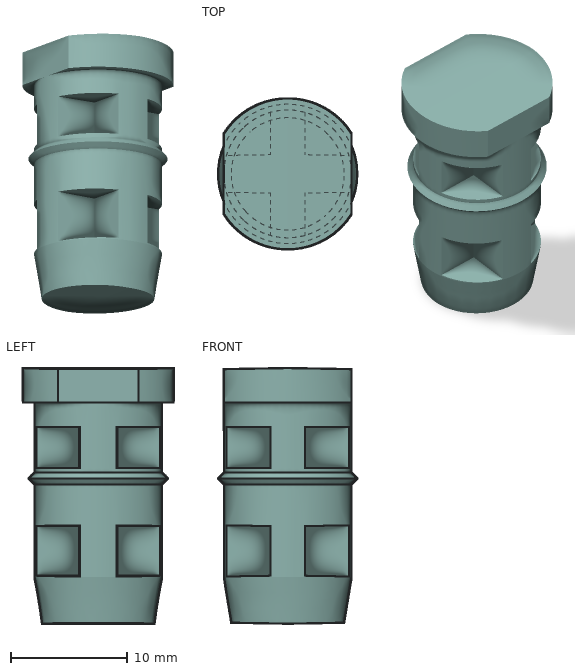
import cadquery as cq
import math

height = 22
draft = math.tan(math.radians(1))

body_radius = 5.5
tip_radius = 4.85
tip_height = 4.0

head_diameter = 13.0
head_height = 3.0
head_width = 2 * body_radius

ring_diameter = 12.0
ring_radius = ring_diameter / 2
ring_center_z = 12.5
ring_half_height = 0.5

core_half_x = 1.5
core_half_y = 1.65
upper_floor_z = 13.38
upper_ceiling_z = 16.95
lower_floor_z = 4.14
lower_ceiling_z = 8.4

head_underside_z = height - head_height


def shank_with_ring():
    """Tip, shank and ring as one profile turned about Z."""
    profile = [
        (0, 0),
        (tip_radius, 0),
        (body_radius, tip_height),
        (body_radius, ring_center_z - ring_half_height),
        (ring_radius, ring_center_z),
        (body_radius, ring_center_z + ring_half_height),
        (body_radius, head_underside_z),
        (0, head_underside_z),
    ]
    return cq.Workplane("XZ").polyline(profile).close().revolve(360, (0, 0, 0), (0, 1, 0))


def head():
    """Disc with a flat on its -X and +X sides."""
    disc = cq.Workplane("XY", origin=(0, 0, head_underside_z)).circle(head_diameter / 2).extrude(head_height)
    between_flats = cq.Workplane("XY").box(head_width, head_diameter, height, centered=(True, True, False))
    return disc.intersect(between_flats)


def corner_windows(floor_z, ceiling_z, vertical_draft):
    """Pockets in all four corners; each widens toward the core along Y as it goes outward along X."""
    depth = body_radius - core_half_x
    core_relief = depth * draft
    end_relief = depth * vertical_draft
    pocket = (
        cq.Workplane("YZ", origin=(core_half_x, 0, 0))
        .polyline([
            (core_half_y, floor_z),
            (body_radius, floor_z),
            (body_radius, ceiling_z),
            (core_half_y, ceiling_z),
        ])
        .close()
        .workplane(offset=depth)
        .polyline([
            (core_half_y - core_relief, floor_z - end_relief),
            (body_radius, floor_z - end_relief),
            (body_radius, ceiling_z + end_relief),
            (core_half_y - core_relief, ceiling_z + end_relief),
        ])
        .close()
        .loft(ruled=True)
    )
    pair = pocket.union(pocket.mirror("XZ"))
    return pair.union(pair.mirror("YZ"))


def drafted_ends():
    """Envelope whose top and bottom faces slope gently from the X = 0 plane toward -X and +X."""
    half_width = ring_radius
    drop = half_width * draft
    outline = [
        (-half_width, drop),
        (0, 0),
        (half_width, drop),
        (half_width, height - drop),
        (0, height),
        (-half_width, height - drop),
    ]
    return cq.Workplane("XZ").polyline(outline).close().extrude(head_diameter / 2, both=True)


upper_windows = corner_windows(upper_floor_z, upper_ceiling_z, vertical_draft=0)
lower_windows = corner_windows(lower_floor_z, lower_ceiling_z, vertical_draft=draft)

plug = shank_with_ring().union(head()).intersect(drafted_ends())
result = plug.cut(upper_windows).cut(lower_windows)